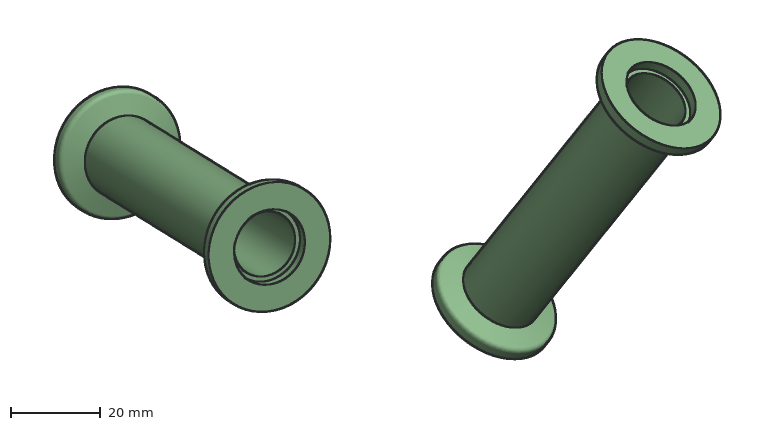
import cadquery as cq
import math

length = 80.0
flange_diameter = 30.0
tube_diameter = 19.0
bore_diameter = 15.0

rim_round = 1.0
cone_angle = 15.0
cone_end = 4.4

recess_diameter = 17.4
recess_depth = 2.6

flange_radius = flange_diameter / 2
tube_radius = tube_diameter / 2
slope = math.radians(cone_angle)


def cone_position(radius):
    """Distance of the conical back from the end face at a given radius."""
    return cone_end - (radius - tube_radius) * math.tan(slope)


def make_flange():
    """Flange at the -X end, revolved about the X axis."""
    profile = (
        cq.Workplane("XY")
        .polyline(
            [
                (0, 0),
                (0, flange_radius),
                (cone_position(flange_radius), flange_radius),
                (cone_end, tube_radius),
                (cone_end, 0),
            ]
        )
        .close()
    )
    flange = profile.revolve(360, (0, 0, 0), (1, 0, 0))
    rim_edge = cq.selectors.RadiusNthSelector(-1)
    flange = flange.edges(rim_edge).edges(">X").fillet(rim_round)
    return flange.translate((-length / 2, 0, 0))


def make_cylinder(start, diameter, depth):
    """Cylinder along +X from the given X position."""
    return cq.Workplane("YZ", origin=(start, 0, 0)).circle(diameter / 2).extrude(depth)


left_flange = make_flange()
right_flange = left_flange.mirror("YZ")
tube = make_cylinder(-length / 2, tube_diameter, length)
body = tube.union(left_flange).union(right_flange)

body = body.cut(make_cylinder(-length / 2, bore_diameter, length))
for recess_start in (-length / 2, length / 2 - recess_depth):
    body = body.cut(make_cylinder(recess_start, recess_diameter, recess_depth))

result = body